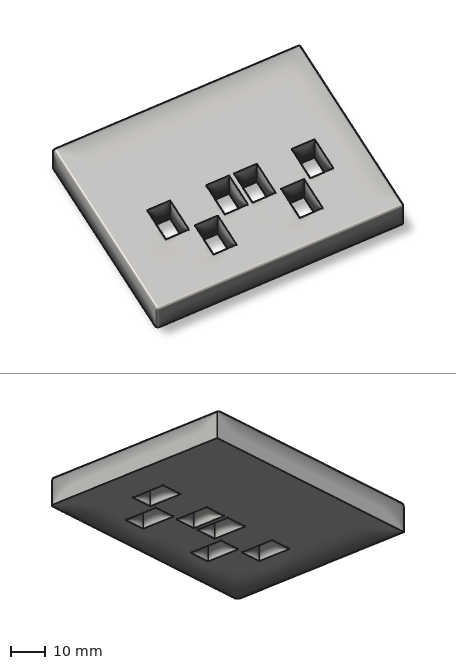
import cadquery as cq

length_x = 64.0
width_y = 80.0
thickness = 9.0
edge_radius = 1.0

window_x = 11.6
window_y = 7.4
inner_column_x = 5.3
outer_column_x = 16.3
inner_column_ys = [24.3, 5.7, -3.3, -22.3]
outer_column_ys = [15.1, -12.7]


def rounded_plate():
    """Plate rounded on its +X corners and top edges; the -X end stays square."""
    plate = cq.Workplane("XY").box(length_x, width_y, thickness, centered=(True, True, False))
    corners = plate.edges("|Z and >X")
    top_edges = plate.faces(">Z").edges("|X or >X")
    return corners.add(top_edges).fillet(edge_radius)


def window_cutters():
    """Prisms that pass through the full thickness at every window."""
    centres = [(inner_column_x, y) for y in inner_column_ys]
    centres += [(outer_column_x, y) for y in outer_column_ys]
    return cq.Workplane("XY").pushPoints(centres).rect(window_x, window_y).extrude(thickness)


result = rounded_plate().cut(window_cutters())